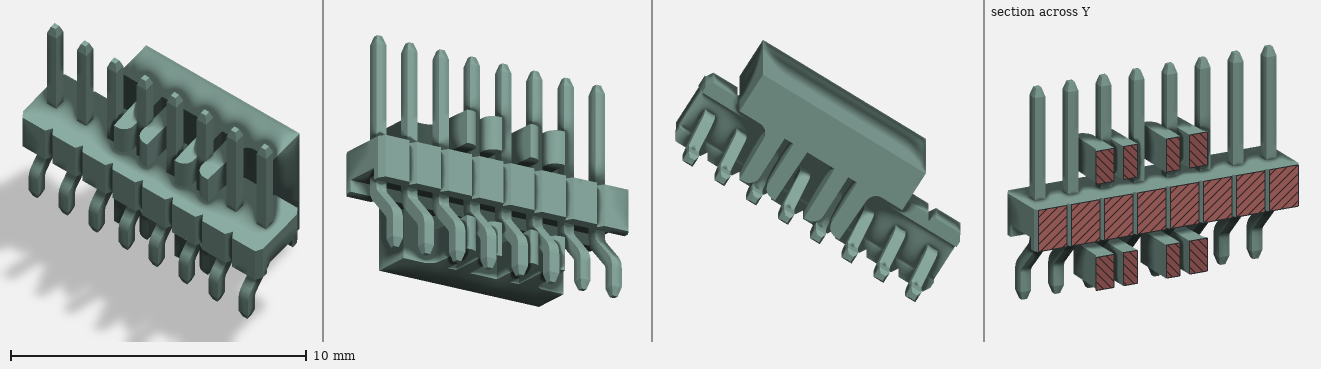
import cadquery as cq
import math


PIN_COUNT = 8
PITCH = 1.27

HEADER_DEPTH = 2.4
HEADER_HEIGHT = 1.5
NOTCH_HALF_WIDTH = 0.15
NOTCH_DEPTH = 0.25
CHANNEL_WIDTH = 1.44
CHANNEL_HEIGHT = 0.42

PIN_WIDTH = 0.4
PIN_TOP = 5.5
PIN_BOTTOM = -2.4
PIN_TIP_LENGTH = 0.32
PIN_TIP_WIDTH = 0.2
PIN_OFFSET = 1.02
PIN_BEND_TOP = 0.0
PIN_BEND_RADIUS = 0.45
PIN_BEND_ANGLE = 45.0

PLATE_WIDTH = 6.5
PLATE_DEPTH = 1.5
PLATE_HEIGHT = 5.0
PRONG_LENGTH = 2.0
PRONG_HEIGHT = 1.2
PRONG_GAP = 0.35
PRONG_TIP_RADIUS = 0.4
OUTER_REACH = 0.72
OUTER_DRAFT = 2.0
OUTER_ROOT_RADIUS = 0.4
INNER_REACH = 0.69
INNER_DRAFT = 1.0

SELECT_MARGIN = 0.01

HEADER_LENGTH = PIN_COUNT * PITCH
HEADER_FRONT = -HEADER_DEPTH / 2
HEADER_BACK = HEADER_DEPTH / 2
PIN_XS = [(i - (PIN_COUNT - 1) / 2) * PITCH for i in range(PIN_COUNT)]
PLATE_CENTER_X = PITCH / 2
PLATE_BOTTOM = (HEADER_HEIGHT - PLATE_HEIGHT) / 2
PLATE_TOP = PLATE_BOTTOM + PLATE_HEIGHT
PRONG_TIP_Y = HEADER_BACK - PRONG_LENGTH


def make_header():
    header = cq.Workplane("XY").rect(HEADER_LENGTH, HEADER_DEPTH).extrude(HEADER_HEIGHT)
    channel = cq.Workplane("XY").rect(HEADER_LENGTH, CHANNEL_WIDTH).extrude(CHANNEL_HEIGHT)
    header = header.cut(channel)

    for i in range(PIN_COUNT + 1):
        x = i * PITCH - HEADER_LENGTH / 2
        for face_y, inward in ((HEADER_FRONT, 1), (HEADER_BACK, -1)):
            notch = (
                cq.Workplane("XY")
                .moveTo(x - NOTCH_HALF_WIDTH, face_y)
                .lineTo(x, face_y + inward * NOTCH_DEPTH)
                .lineTo(x + NOTCH_HALF_WIDTH, face_y)
                .close()
                .extrude(HEADER_HEIGHT)
            )
            header = header.cut(notch)

    pin_holes = (
        cq.Workplane("XY")
        .pushPoints([(x, 0) for x in PIN_XS])
        .rect(PIN_WIDTH, PIN_WIDTH)
        .extrude(HEADER_HEIGHT)
    )
    return header.cut(pin_holes)


def make_pin_tip(y, base_z, end_z):
    return (
        cq.Workplane("XY", origin=(0, y, base_z))
        .rect(PIN_WIDTH, PIN_WIDTH)
        .workplane(offset=end_z - base_z)
        .rect(PIN_TIP_WIDTH, PIN_TIP_WIDTH)
        .loft(combine=True)
    )


def make_pin(x):
    angle = math.radians(PIN_BEND_ANGLE)
    bend_y = PIN_BEND_RADIUS * (1 - math.cos(angle))
    bend_z = PIN_BEND_RADIUS * math.sin(angle)
    slope_y = PIN_OFFSET - 2 * bend_y
    slope_z = slope_y / math.tan(angle)

    upper_z = PIN_TOP - PIN_TIP_LENGTH
    lower_z = PIN_BOTTOM + PIN_TIP_LENGTH
    slope_start = (-bend_y, PIN_BEND_TOP - bend_z)
    slope_end = (slope_start[0] - slope_y, slope_start[1] - slope_z)
    leg_start = (-PIN_OFFSET, slope_end[1] - bend_z)

    path = (
        cq.Workplane("YZ")
        .moveTo(0, upper_z)
        .lineTo(0, PIN_BEND_TOP)
        .tangentArcPoint(slope_start, relative=False)
        .lineTo(*slope_end)
        .tangentArcPoint(leg_start, relative=False)
        .lineTo(-PIN_OFFSET, lower_z)
    )
    shaft = cq.Workplane("XY", origin=(0, 0, upper_z)).rect(PIN_WIDTH, PIN_WIDTH).sweep(path)
    upper_tip = make_pin_tip(0, upper_z, PIN_TOP)
    lower_tip = make_pin_tip(-PIN_OFFSET, lower_z, PIN_BOTTOM)
    return shaft.union(upper_tip).union(lower_tip).translate((x, 0, 0))


def root_reach(tip_reach, draft):
    """Pair centre to flank at the plate, for a flank that widens towards the plate."""
    return tip_reach + PRONG_LENGTH * math.tan(math.radians(draft))


def make_prong(pair_x, side, tip_reach, draft, base_z):
    """One prong on the given side (-1 or +1) of the slot at pair_x."""
    slot_wall = PRONG_GAP / 2
    return (
        cq.Workplane("XY", origin=(pair_x, 0, base_z))
        .moveTo(side * slot_wall, HEADER_BACK)
        .lineTo(side * slot_wall, PRONG_TIP_Y + PRONG_TIP_RADIUS)
        .tangentArcPoint((side * (slot_wall + PRONG_TIP_RADIUS), PRONG_TIP_Y), relative=False)
        .lineTo(side * tip_reach, PRONG_TIP_Y)
        .lineTo(side * root_reach(tip_reach, draft), HEADER_BACK)
        .close()
        .extrude(PRONG_HEIGHT)
    )


def make_clip_block(pins):
    clip = (
        cq.Workplane("XY", origin=(PLATE_CENTER_X, HEADER_BACK, PLATE_BOTTOM))
        .box(PLATE_WIDTH, PLATE_DEPTH, PLATE_HEIGHT, centered=(True, False, False))
    )
    for outward in (-1, 1):
        pair_x = PLATE_CENTER_X + outward * PITCH
        for base_z in (PLATE_BOTTOM, PLATE_TOP - PRONG_HEIGHT):
            clip = clip.union(make_prong(pair_x, outward, OUTER_REACH, OUTER_DRAFT, base_z))
            clip = clip.union(make_prong(pair_x, -outward, INNER_REACH, INNER_DRAFT, base_z))

        root_x = pair_x + outward * root_reach(OUTER_REACH, OUTER_DRAFT)
        root_corners = cq.selectors.BoxSelector(
            (root_x - SELECT_MARGIN, HEADER_BACK - SELECT_MARGIN, PLATE_BOTTOM),
            (root_x + SELECT_MARGIN, HEADER_BACK + SELECT_MARGIN, PLATE_TOP),
        )
        clip = clip.edges("|Z").edges(root_corners).fillet(OUTER_ROOT_RADIUS)

    for pin in pins:
        clip = clip.cut(pin)
    return clip


header = make_header()
pins = [make_pin(x) for x in PIN_XS]
clip_block = make_clip_block(pins)

result = cq.Compound.makeCompound([
    header.solids().val(),
    clip_block.solids().val(),
    *[pin.solids().val() for pin in pins],
])